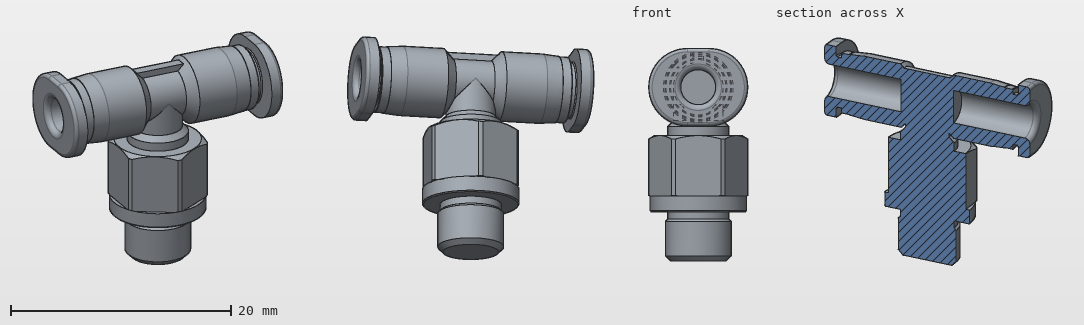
import cadquery as cq
import math


overall_height = 19.3

run_half_length = 10.55
waist_radius = 2.25
waist_half_length = 1.8
barrel_radius = 3.16
barrel_start = waist_half_length + barrel_radius - waist_radius
taper_start = 6.48
taper_end = 7.95
barrel_tip_radius = 3.04
barrel_end_radius = 3.0
barrel_end = 8.82
barrel_end_chamfer = 0.06
collet_neck_radius = 2.51
collet_flare = 0.1

flange_width = 9.0
flange_height = 7.05
flange_thickness = 1.22
flange_inner_face = run_half_length - flange_thickness
flange_edge_radius = 0.32

socket_radius = 1.58
socket_mouth_radius = 2.1
socket_mouth_round = socket_mouth_radius - socket_radius
socket_floor = barrel_start

rib_width = 1.0
rib_top = 2.8

stem_radius = waist_radius
stem_bottom = -3.04
spigot_radius = 2.79
spigot_top = stem_bottom - (spigot_radius - stem_radius)
hex_top = -4.37
hex_bottom = -9.87
collar_radius = 4.39
collar_bottom = -11.3
collar_chamfer = 0.1
thread_radius = 3.0
thread_relief_bottom = -11.96
thread_top = thread_relief_bottom - (thread_radius - spigot_radius)
thread_end_chamfer = 0.49
branch_bottom = flange_height / 2 - overall_height

hex_across_flats = 8.0
hex_corner_diameter = 9.0
hex_top_circle_radius = 3.97
hex_top_chamfer_height = 0.34
hex_bottom_chamfer_height = 0.06


def revolve_about_y(points):
    """Solid of revolution about Y from (radius, y) points."""
    return cq.Workplane("XY").polyline(points).close().revolve(360, (0, 0, 0), (0, 1, 0))


def revolve_about_z(points):
    """Solid of revolution about Z from (radius, z) points."""
    return cq.Workplane("XZ").polyline(points).close().revolve(360, (0, 0, 0), (0, 1, 0))


def make_run_half():
    """The +Y half of the run with its release flange."""
    barrel = revolve_about_y([
        (0, 0),
        (waist_radius, 0),
        (waist_radius, waist_half_length),
        (barrel_radius, barrel_start),
        (barrel_radius, taper_start),
        (barrel_tip_radius, taper_end),
        (barrel_end_radius, taper_end),
        (barrel_end_radius, barrel_end - barrel_end_chamfer),
        (barrel_end_radius - barrel_end_chamfer, barrel_end),
        (collet_neck_radius, barrel_end),
        (collet_neck_radius, flange_inner_face - collet_flare),
        (collet_neck_radius + collet_flare, flange_inner_face),
        (0, flange_inner_face),
    ])
    flange = (
        cq.Workplane("XZ", origin=(0, flange_inner_face, 0))
        .slot2D(flange_width, flange_height)
        .extrude(-flange_thickness)
        .faces(">Y")
        .edges()
        .fillet(flange_edge_radius)
    )
    return barrel.union(flange)


def make_socket():
    """Cutter for the blind tube socket at the +Y end, with its rounded mouth."""
    mouth_start = run_half_length - socket_mouth_round
    mouth_arc_middle = (
        socket_mouth_radius - socket_mouth_round * math.cos(math.pi / 4),
        mouth_start + socket_mouth_round * math.sin(math.pi / 4),
    )
    return (
        cq.Workplane("XY")
        .moveTo(0, socket_floor)
        .lineTo(socket_radius, socket_floor)
        .lineTo(socket_radius, mouth_start)
        .threePointArc(mouth_arc_middle, (socket_mouth_radius, run_half_length))
        .lineTo(0, run_half_length)
        .close()
        .revolve(360, (0, 0, 0), (0, 1, 0))
    )


def make_rib():
    """Flat rib on the waist, long enough to end inside both barrels."""
    return cq.Workplane("XY").box(rib_width, 2 * barrel_start, rib_top, centered=(True, True, False))


def make_branch():
    """Turned branch: stem, spigot, collar, thread relief and thread."""
    return revolve_about_z([
        (0, 0),
        (stem_radius, 0),
        (stem_radius, stem_bottom),
        (spigot_radius, spigot_top),
        (spigot_radius, hex_bottom),
        (collar_radius, hex_bottom),
        (collar_radius, collar_bottom + collar_chamfer),
        (collar_radius - collar_chamfer, collar_bottom),
        (spigot_radius, collar_bottom),
        (spigot_radius, thread_relief_bottom),
        (thread_radius, thread_top),
        (thread_radius, branch_bottom + thread_end_chamfer),
        (thread_radius - thread_end_chamfer, branch_bottom),
        (0, branch_bottom),
    ])


def make_hex():
    """Hexagon with its corners turned down and both ends chamfered."""
    corner_radius = hex_corner_diameter / 2
    prism = (
        cq.Workplane("XY", origin=(0, 0, hex_bottom))
        .polygon(6, hex_across_flats / math.cos(math.pi / 6))
        .extrude(hex_top - hex_bottom)
    )
    turned_envelope = revolve_about_z([
        (0, hex_top),
        (hex_top_circle_radius, hex_top),
        (corner_radius, hex_top - hex_top_chamfer_height),
        (corner_radius, hex_bottom + hex_bottom_chamfer_height),
        (collar_radius, hex_bottom),
        (0, hex_bottom),
    ])
    return prism.intersect(turned_envelope)


run_half = make_run_half()
socket = make_socket()

result = (
    run_half
    .union(run_half.mirror("XZ"))
    .union(make_rib())
    .union(make_branch())
    .union(make_hex())
    .cut(socket)
    .cut(socket.mirror("XZ"))
)